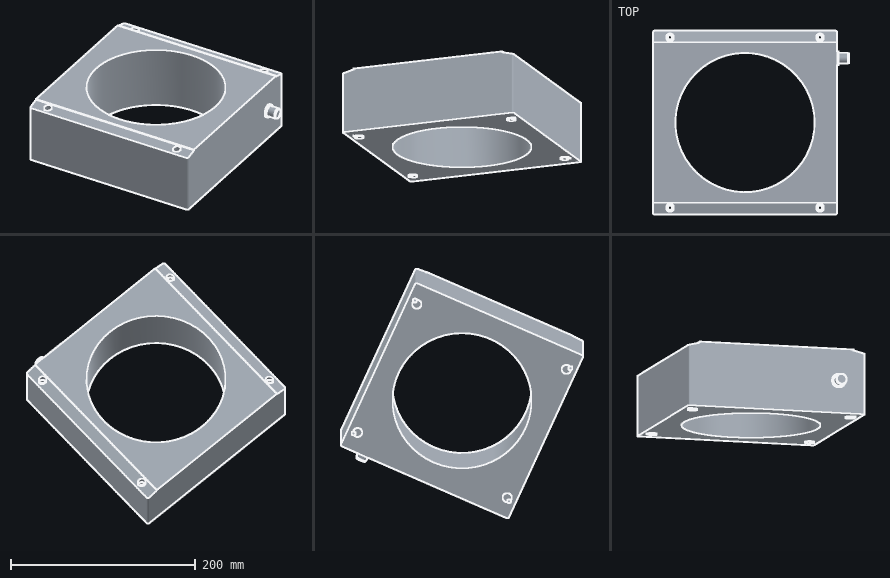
import cadquery as cq

housing_side = 200.0
housing_height = 71.0
corner_radius = 2.0
opening_diameter = 151.0

shoulder_width = 13.0
shoulder_drop = 4.3
step_height = 1.0

hole_spacing_x = 163.0
hole_spacing_y = 185.0
hole_diameter = 4.5
upper_bore_diameter = 8.5
upper_bore_depth = 10.6
lower_bore_diameter = 7.5
lower_bore_depth = 17.0

foot_spacing_x = 157.2
foot_spacing_y = 178.0
foot_diameter = 10.0
foot_height = 1.0

overall_length = 213.0
connector_y = 69.9
connector_z = housing_height / 2
flange_diameter = 15.0
flange_thickness = 2.0
plug_diameter = 12.0
nose_diameter = 10.9
nose_length = 1.0
plug_chamfer = (plug_diameter - nose_diameter) / 2

half_side = housing_side / 2
plug_length = overall_length - housing_side


def corner_points(spacing_x, spacing_y):
    """Four corners of a rectangle centred on the Z axis."""
    return [(x_sign * spacing_x / 2, y_sign * spacing_y / 2) for x_sign in (-1, 1) for y_sign in (-1, 1)]


hole_points = corner_points(hole_spacing_x, hole_spacing_y)
foot_points = corner_points(foot_spacing_x, foot_spacing_y)


def vertical_cylinders(points, diameter, bottom_z, top_z):
    base = cq.Workplane("XY", origin=(0, 0, bottom_z))
    return base.pushPoints(points).circle(diameter / 2).extrude(top_z - bottom_z)


def shoulder_wedge(side):
    """Wedge removed along one Y edge; side is -1 or 1."""
    outer_y = side * half_side
    inner_y = side * (half_side - shoulder_width)
    return (
        cq.Workplane("YZ", origin=(-half_side, 0, 0))
        .moveTo(inner_y, housing_height)
        .lineTo(inner_y, housing_height - step_height)
        .lineTo(outer_y, housing_height - shoulder_drop)
        .lineTo(outer_y, housing_height)
        .close()
        .extrude(housing_side)
    )


def make_housing():
    body = (
        cq.Workplane("XY")
        .rect(housing_side, housing_side)
        .circle(opening_diameter / 2)
        .extrude(housing_height)
        .edges("|Z and (<X or >X)")
        .fillet(corner_radius)
    )
    for side in (-1, 1):
        body = body.cut(shoulder_wedge(side))
    hole_steps = [
        (hole_diameter, housing_height),
        (lower_bore_diameter, lower_bore_depth),
        (upper_bore_diameter, upper_bore_depth),
    ]
    for diameter, depth in hole_steps:
        body = body.cut(vertical_cylinders(hole_points, diameter, housing_height - depth, housing_height))
    return body


def make_foot(point):
    """Round foot, notched to leave the nearby mounting hole open."""
    foot = vertical_cylinders([point], foot_diameter, -foot_height, 0)
    return foot.cut(vertical_cylinders(hole_points, hole_diameter, -foot_height, 0))


def connector_cylinder(diameter, length):
    """Cylinder along the connector axis, starting at the +X face of the housing."""
    base = cq.Workplane("YZ", origin=(half_side, connector_y, connector_z))
    return base.circle(diameter / 2).extrude(length)


def make_flange():
    ring = connector_cylinder(flange_diameter, flange_thickness)
    return ring.cut(connector_cylinder(plug_diameter, flange_thickness))


def make_plug():
    """Plug with a chamfered end and a short nose of the chamfer's smaller diameter."""
    barrel = connector_cylinder(plug_diameter, plug_length - nose_length)
    barrel = barrel.faces(">X").chamfer(plug_chamfer)
    return barrel.union(connector_cylinder(nose_diameter, plug_length))


housing = make_housing()
feet = [make_foot(point) for point in foot_points]
flange = make_flange()
plug = make_plug()

bodies = [housing, flange, plug, *feet]
result = cq.Compound.makeCompound([body.solids().val() for body in bodies])